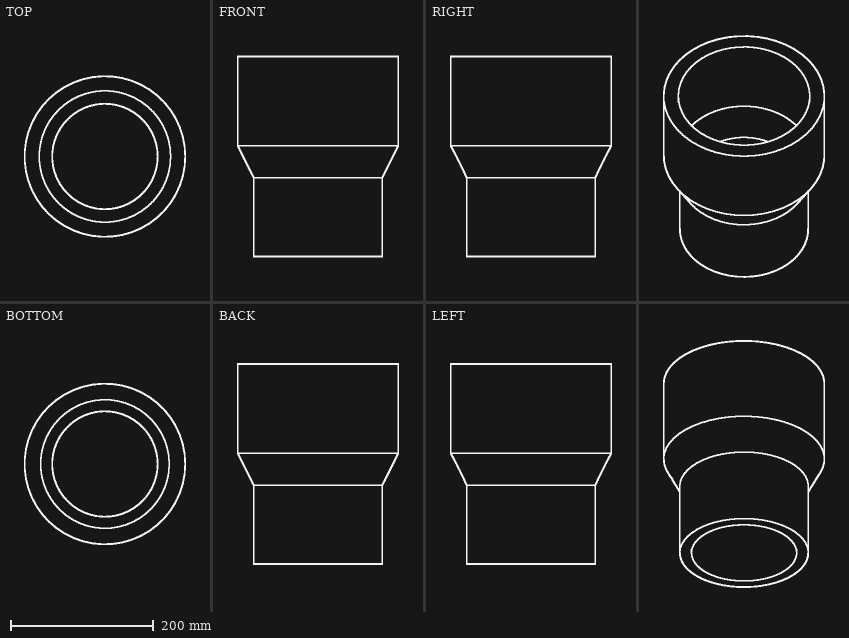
import cadquery as cq

total_height = 280.0
upper_diameter = 225.0
upper_bore = 184.0
lower_diameter = 180.0
lower_bore = 147.3
lower_length = 110.0
upper_length = 125.0

taper_bottom = lower_length
taper_top = total_height - upper_length


def stepped_body(bottom_diameter, top_diameter):
    """Two coaxial cylinders joined by a conical taper, standing on Z = 0."""
    bottom_radius = bottom_diameter / 2
    top_radius = top_diameter / 2
    half_profile = (
        cq.Workplane("XZ")
        .polyline([
            (0, 0),
            (bottom_radius, 0),
            (bottom_radius, taper_bottom),
            (top_radius, taper_top),
            (top_radius, total_height),
            (0, total_height),
        ])
        .close()
    )
    return half_profile.revolve(360, (0, 0, 0), (0, 1, 0))


outside = stepped_body(lower_diameter, upper_diameter)
bore = stepped_body(lower_bore, upper_bore)

result = outside.cut(bore)